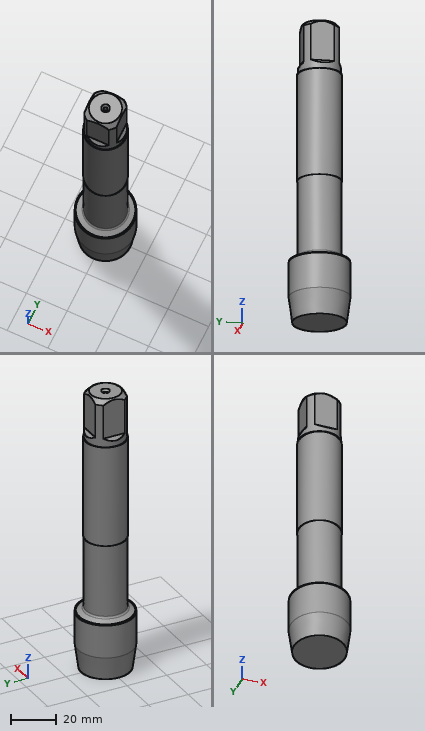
import cadquery as cq

total_length = 140.0

head_diameter = 27.6
lead_end_diameter = 24.4
lead_length = 11.9
head_length = 28.1

neck_diameter = 19.7
rim_diameter = 27.5
rim_height = 0.4
collar_base_diameter = 26.3
collar_top_z = 30.2
collar_fillet = 1.1

shank_diameter = 20.0
shank_bottom_z = 66.5
shank_top_z = 116.6

drive_diameter = 19.2
square_width = 16.0
flat_bottom_z = 121.0
tip_diameter = 14.7

centre_mouth_diameter = 3.9
centre_hole_diameter = 2.0
centre_hole_depth = 4.2
countersink_angle = 90

selection_margin = 0.1

collar_base_z = head_length + rim_height
tip_chamfer = (drive_diameter - tip_diameter) / 2
flat_depth = (drive_diameter - square_width) / 2


def revolve_profile(points):
    """Revolve a closed (radius, z) outline about the Z axis."""
    return cq.Workplane("XZ").polyline(points).close().revolve(360, (0, 0), (0, 1))


def make_head():
    """Cylindrical cutting head with a tapered lead at its lower end."""
    return revolve_profile([
        (0, 0),
        (lead_end_diameter / 2, 0),
        (head_diameter / 2, lead_length),
        (head_diameter / 2, head_length),
        (0, head_length),
    ])


def flat_cutter():
    """Cutter for one drive flat, with a 45 degree run-out at its lower end."""
    inner = square_width / 2
    outer = inner + 2 * flat_depth
    run_out = outer - inner
    return (
        cq.Workplane("XZ")
        .polyline([
            (inner, flat_bottom_z),
            (outer, flat_bottom_z - run_out),
            (outer, total_length),
            (inner, total_length),
        ])
        .close()
        .extrude(drive_diameter / 2, both=True)
    )


def make_shank():
    """Rim, filleted collar, neck, shank and square drive, with a centre hole in the tip."""
    body = revolve_profile([
        (0, head_length),
        (rim_diameter / 2, head_length),
        (rim_diameter / 2, collar_base_z),
        (collar_base_diameter / 2, collar_base_z),
        (neck_diameter / 2, collar_top_z),
        (neck_diameter / 2, shank_bottom_z),
        (shank_diameter / 2, shank_bottom_z),
        (shank_diameter / 2, shank_top_z),
        (drive_diameter / 2, shank_top_z),
        (drive_diameter / 2, total_length - tip_chamfer),
        (tip_diameter / 2, total_length),
        (0, total_length),
    ])
    collar_corner = cq.selectors.BoxSelector(
        (-neck_diameter, -neck_diameter, collar_top_z - selection_margin),
        (neck_diameter, neck_diameter, collar_top_z + selection_margin),
    )
    body = body.edges(collar_corner).fillet(collar_fillet)
    for side in range(4):
        body = body.cut(flat_cutter().rotate((0, 0, 0), (0, 0, 1), 90 * side))
    return (
        body.faces(">Z")
        .workplane(origin=(0, 0, total_length))
        .cskHole(centre_hole_diameter, centre_mouth_diameter, countersink_angle, depth=centre_hole_depth)
    )


head = make_head()
shank = make_shank()

result = cq.Compound.makeCompound([head.val(), shank.val()])